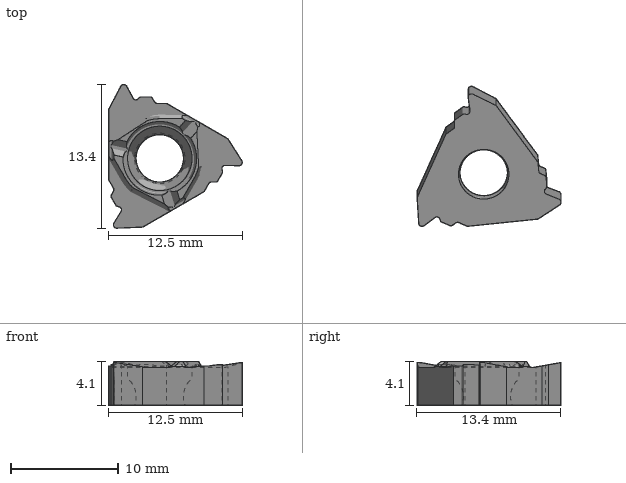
import cadquery as cq
import math

TEETH = 3
SECTOR = 360 / TEETH

inscribed_radius = 4.76
thickness = 4.1
floor_z = 3.54
land_z = 3.62
oversize = 10.73

tooth_root_y = 4.59
tip_point = (-3.37, 7.25)
tip_radius = 0.32
valley_point = (-2.29, 5.28)
valley_radius = 0.27
crest_y = 5.74
crest_start_x = -1.82
crest_start_radius = 0.2
crest_end_x = -0.76
crest_end_radius = 0.2
shoulder_y = 5.14
shoulder_start_x = -0.4
shoulder_radius = 0.27

rake_angle = 10.0
rake_start = 4.29
rake_blend = 0.45

boss_radius = 3.7
boss_side_direction = 122.9
boss_side_distance = 3.58
boss_kink_radius = 0.8
boss_draft = 30.0
boss_foot_radius = 0.32
end_distance = 4.26
wall_draft = 22.0
small_foot_radius = 0.21

groove_angle = 167.5
groove_offset = 0.12
groove_half_top = 0.74
groove_half_foot = 0.15
groove_radius = 0.32

throat_radius = 2.2
throat_z = 0.8
counterbore_radius = 3.0
counterbore_z = 2.67
ledge_radius = 3.25
seat_radius = 2.84
seat_z = 2.36


def repeat(solid):
    """The solid repeated around the Z axis, once for every tooth."""
    copies = solid
    for i in range(1, TEETH):
        copies = copies.union(solid.rotate((0, 0, 0), (0, 0, 1), i * SECTOR))
    return copies


def turned(point, angle):
    """The point turned around the origin by an angle in degrees."""
    a = math.radians(angle)
    x, y = point
    return (x * math.cos(a) - y * math.sin(a), x * math.sin(a) + y * math.cos(a))


def make_outline():
    """Full-height prism of the toothed triangle with its corners rounded."""
    half = math.radians(SECTOR / 2)
    runout_x = (inscribed_radius - shoulder_y * math.sin(half)) / math.cos(half)
    corners = [
        ((-inscribed_radius, tooth_root_y), 0),
        (tip_point, tip_radius),
        (valley_point, valley_radius),
        ((crest_start_x, crest_y), crest_start_radius),
        ((crest_end_x, crest_y), crest_end_radius),
        ((shoulder_start_x, shoulder_y), shoulder_radius),
        ((runout_x, shoulder_y), 0),
    ]
    points = [turned(p, -i * SECTOR) for i in range(TEETH) for p, _ in corners]
    prism = cq.Workplane("XY").polyline(points).close().extrude(thickness)
    for corner, radius in corners:
        if radius:
            for i in range(TEETH):
                x, y = turned(corner, -i * SECTOR)
                near = cq.selectors.NearestToPointSelector((x, y, thickness / 2))
                prism = prism.edges("|Z").edges(near).fillet(radius)
    return prism


def make_rakes():
    """Wedges that rise outward from the fold lines, blended into the floor."""
    slope = math.radians(rake_angle)
    tangent = rake_blend * math.tan(slope / 2)
    blend_end = (rake_start + tangent * math.cos(slope), floor_z + tangent * math.sin(slope))
    rise = (oversize - rake_start) * math.tan(slope)
    wedge = (
        cq.Workplane("YZ")
        .moveTo(rake_start - tangent, floor_z)
        .radiusArc(blend_end, -rake_blend)
        .lineTo(oversize, floor_z + rise)
        .lineTo(oversize, 0)
        .lineTo(rake_start - tangent, 0)
        .close()
        .extrude(oversize, both=True)
    )
    return repeat(wedge)


def wall_section(plane, top_distance, foot_z, draft):
    """Section of the space outside a leaning wall, and the distance of its foot."""
    foot_distance = top_distance + (thickness - foot_z) * math.tan(math.radians(draft))
    section = cq.Workplane(plane).polyline([
        (foot_distance, foot_z),
        (oversize, foot_z),
        (oversize, thickness),
        (top_distance, thickness),
    ]).close()
    return section, foot_distance


def wall_cutter(direction, top_distance, foot_z, draft, foot_radius):
    """Bar that leaves a straight leaning wall facing the given direction."""
    section, foot_distance = wall_section("YZ", top_distance, foot_z, draft)
    foot = cq.selectors.NearestToPointSelector((0, foot_distance, foot_z))
    bar = section.extrude(oversize, both=True).edges(foot).fillet(foot_radius)
    return bar.rotate((0, 0, 0), (0, 0, 1), direction - 90)


def corner_cutter():
    """Ring sector that leaves the rounded corner between two boss sides."""
    section, foot_distance = wall_section("XZ", boss_radius, floor_z, boss_draft)
    sweep = boss_side_direction - 90
    ring = section.revolve(sweep, (0, 0, 0), (0, 1, 0)).rotate((0, 0, 0), (0, 0, 1), 90)
    middle = turned((foot_distance, 0), 90 + sweep / 2)
    foot = cq.selectors.NearestToPointSelector((*middle, floor_z))
    return ring.edges(foot).fillet(boss_foot_radius)


def make_top_cutters():
    """All space above the floor and the lands, outside the boss."""
    fold_side = wall_cutter(90, boss_radius, floor_z, boss_draft, boss_foot_radius)
    slanted_side = wall_cutter(
        boss_side_direction, boss_side_distance, floor_z, boss_draft, boss_foot_radius
    )
    end = wall_cutter(180, end_distance, land_z, wall_draft, small_foot_radius)
    return [repeat(cutter) for cutter in (fold_side, corner_cutter(), slanted_side, end)]


def make_groove_cutters():
    """V-shaped bars with a narrow rounded bottom, running outward."""
    groove = (
        cq.Workplane("YZ")
        .polyline([
            (-groove_half_foot, land_z),
            (groove_half_foot, land_z),
            (groove_half_top, thickness),
            (-groove_half_top, thickness),
        ])
        .close()
        .extrude(oversize)
        .edges("<Z and |X")
        .fillet(groove_radius)
    )
    return repeat(groove.translate((0, -groove_offset, 0)).rotate((0, 0, 0), (0, 0, 1), groove_angle))


def make_bore():
    """Revolved bore: conical mouth, ledge, straight wall and rounded seat."""
    mouth_radius = ledge_radius + (thickness - land_z) * math.tan(math.radians(wall_draft))
    seat_sweep = 2 * math.atan2(seat_radius - throat_radius, seat_z - throat_z)
    seat_arc = (seat_z - throat_z) / math.sin(seat_sweep)
    underside_radius = throat_radius + seat_arc - math.sqrt(seat_arc**2 - throat_z**2)
    bore = (
        cq.Workplane("XZ")
        .lineTo(underside_radius, 0)
        .threePointArc((throat_radius, throat_z), (seat_radius, seat_z))
        .tangentArcPoint((counterbore_radius, counterbore_z), relative=False)
        .lineTo(counterbore_radius, land_z)
        .lineTo(ledge_radius, land_z)
        .lineTo(mouth_radius, thickness)
        .lineTo(0, thickness)
        .close()
        .revolve(360, (0, 0, 0), (0, 1, 0))
    )
    ledge = bore.faces("|Z").faces(">Z[-2]")
    return ledge.edges(cq.selectors.RadiusNthSelector(-1)).fillet(small_foot_radius)


def round_boss_kinks(body):
    """Round the edges where the boss corners meet the slanted sides."""
    kink_direction = boss_side_direction - math.degrees(math.acos(boss_side_distance / boss_radius))
    middle_z = (floor_z + thickness) / 2
    middle_radius = boss_radius + (thickness - middle_z) * math.tan(math.radians(boss_draft))
    for i in range(TEETH):
        x, y = turned((middle_radius, 0), kink_direction + i * SECTOR)
        kink = cq.selectors.NearestToPointSelector((x, y, middle_z))
        body = body.edges(kink).fillet(boss_kink_radius)
    return body


outline = make_outline()
result = outline
for cutter in make_top_cutters():
    result = result.cut(cutter)
result = round_boss_kinks(result)
result = result.cut(make_groove_cutters()).union(make_rakes()).intersect(outline).cut(make_bore())